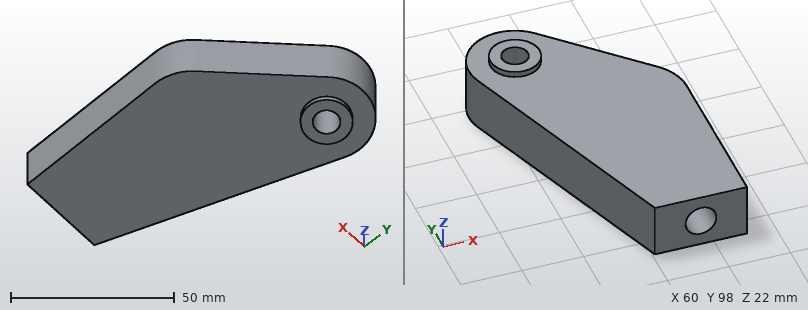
import cadquery as cq
import math

length = 98.0
width = 60.0
foot_width = 30.0
body_height = 18.0
overall_height = 22.0
eye_radius = 15.0
boss_diameter = 16.0
pivot_hole_diameter = 8.4
shoulder_radius = 16.7
shoulder_angle = 44.0
foot_hole_diameter = 10.0
foot_hole_depth = 30.0

foot_y = eye_radius - length
right_x = width - eye_radius
foot_left_x = right_x - foot_width


def on_eye(angle):
    """Point of the rounded end at an angle in radians from +X."""
    return (eye_radius * math.cos(angle), eye_radius * math.sin(angle))


corner_distance = math.hypot(foot_left_x, foot_y)
corner_angle = math.atan2(foot_y, foot_left_x)
long_edge_tangent = on_eye(corner_angle - math.acos(eye_radius / corner_distance))

slope = math.radians(shoulder_angle)
slope_tangent = on_eye(math.pi / 2 - slope)
shoulder_y = slope_tangent[1] - (right_x - slope_tangent[0]) * math.tan(slope)


def make_body():
    body = (
        cq.Workplane("XY")
        .moveTo(foot_left_x, foot_y)
        .lineTo(right_x, foot_y)
        .lineTo(right_x, shoulder_y)
        .lineTo(*slope_tangent)
        .threePointArc(on_eye(math.radians(135)), long_edge_tangent)
        .close()
        .extrude(body_height / 2, both=True)
    )
    shoulder_edge = cq.selectors.NearestToPointSelector((right_x, shoulder_y, 0))
    return body.edges("|Z").edges(shoulder_edge).fillet(shoulder_radius)


def pivot_cylinder(diameter):
    return cq.Workplane("XY").circle(diameter / 2).extrude(overall_height / 2, both=True)


def make_foot_hole():
    """Blind hole centred on the flat foot, running along +Y."""
    foot_plane = cq.Plane(
        origin=(right_x - foot_width / 2, foot_y, 0), xDir=(1, 0, 0), normal=(0, 1, 0)
    )
    return cq.Workplane(foot_plane).circle(foot_hole_diameter / 2).extrude(foot_hole_depth)


part = make_body().union(pivot_cylinder(boss_diameter))
part = part.cut(pivot_cylinder(pivot_hole_diameter)).cut(make_foot_hole())

result = part.translate((eye_radius - width / 2, length / 2 - eye_radius, 0))